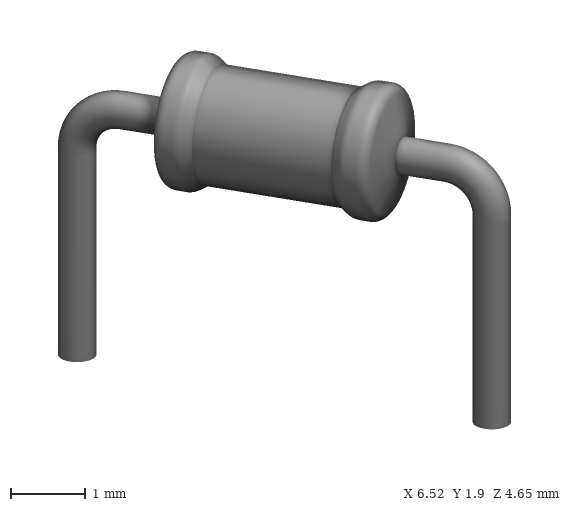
import cadquery as cq
import math

lead_diameter = 0.52
lead_radius = lead_diameter / 2
lead_pitch = 6.0
bend_radius = 0.65

overall_height = 4.65
body_length = 3.41
barrel_radius = 1.66 / 2
cap_radius = 1.9 / 2
cap_step = cap_radius - barrel_radius
axis_height = overall_height - cap_radius

end_cone_length = 0.147
crest_length = 0.16
neck_radius = 0.183
neck_angle = math.radians(33)

end_cone_angle = math.atan2(barrel_radius - lead_radius, end_cone_length)
shoulder_radius = cap_step / (1 - math.cos(end_cone_angle))
shoulder_length = shoulder_radius * math.sin(end_cone_angle)


def round_point(crest_x, radius, angle):
    """Point on a round tangent to the crest at crest_x; a positive angle turns towards +X."""
    return (
        crest_x + radius * math.sin(angle),
        cap_radius - radius * (1 - math.cos(angle)),
    )


def make_left_body():
    """Left half of the body, ending at the middle plane X = 0."""
    end_x = -body_length / 2
    shoulder_x = end_x + end_cone_length
    crest_x = shoulder_x + shoulder_length
    neck_x = crest_x + crest_length

    shoulder_mid = round_point(crest_x, shoulder_radius, -end_cone_angle / 2)
    neck_mid = round_point(neck_x, neck_radius, neck_angle / 2)
    neck_end = round_point(neck_x, neck_radius, neck_angle)
    neck_cone_length = (neck_end[1] - barrel_radius) / math.tan(neck_angle)
    barrel_x = neck_end[0] + neck_cone_length

    profile = (
        cq.Workplane("XZ")
        .moveTo(end_x, 0)
        .lineTo(end_x, lead_radius)
        .lineTo(shoulder_x, barrel_radius)
        .threePointArc(shoulder_mid, (crest_x, cap_radius))
        .lineTo(neck_x, cap_radius)
        .threePointArc(neck_mid, neck_end)
        .lineTo(barrel_x, barrel_radius)
        .lineTo(0, barrel_radius)
        .lineTo(0, 0)
        .close()
    )
    body = profile.revolve(360, (0, 0, 0), (1, 0, 0))
    return body.translate((0, 0, axis_height))


def make_left_lead():
    """Round wire: up from Z = 0, through a right-angle bend, into the body."""
    foot_x = -lead_pitch / 2
    bend_x = foot_x + bend_radius
    bend_z = axis_height - bend_radius
    half_turn = math.pi / 4
    bend_mid = (
        bend_x - bend_radius * math.cos(half_turn),
        bend_z + bend_radius * math.sin(half_turn),
    )
    path = (
        cq.Workplane("XZ")
        .moveTo(foot_x, 0)
        .lineTo(foot_x, bend_z)
        .threePointArc(bend_mid, (bend_x, axis_height))
        .lineTo(0, axis_height)
    )
    wire_section = cq.Workplane("XY").center(foot_x, 0).circle(lead_radius)
    return wire_section.sweep(path)


left_half = make_left_body().union(make_left_lead())
result = left_half.union(left_half.mirror("YZ")).clean()